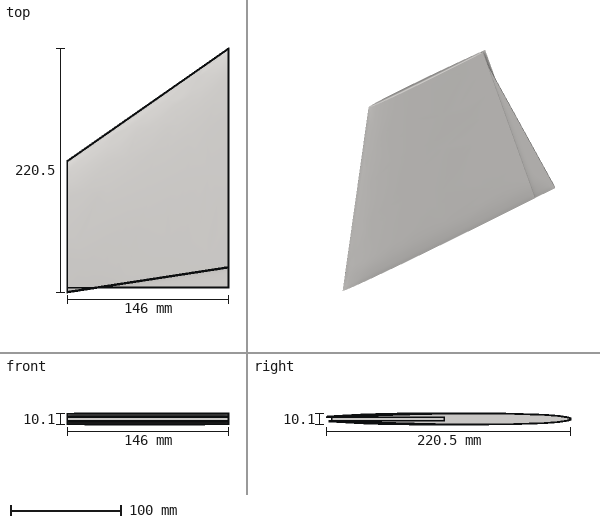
import cadquery as cq

SPAN = 146.0
NEAR_TRAILING_Y = 0.0
NEAR_LEADING_Y = 118.6
FAR_TRAILING_Y = 22.5
FAR_LEADING_Y = 220.5

FIN_THICKNESS = 10.1
HALF_THICKNESS = FIN_THICKNESS / 2
UPPER_EDGE_SETBACK = 0.7
LOWER_EDGE_SETBACK = 2.5
SURFACE_POLES = [
    (0.0, 0.0),
    (0.0, 0.88),
    (0.34, 1.49),
    (1.0, 0.46),
]

PLATE_THICKNESS = 3.3
PLATE_FRONT_Y = 4.5
PLATE_DEPTH = 101.7


def section_wire(x, trailing_y, leading_y):
    """Closed airfoil outline in the plane at x; its tip lies at the upper face of the plate slot."""
    chord = leading_y - trailing_y

    def surface_curve(edge_setback, side):
        surface_length = chord - edge_setback
        poles = [
            cq.Vector(x, leading_y - fraction * surface_length, side * height * HALF_THICKNESS)
            for fraction, height in SURFACE_POLES
        ]
        return cq.Edge.makeBezier(poles)

    upper = surface_curve(UPPER_EDGE_SETBACK, 1)
    lower = surface_curve(LOWER_EDGE_SETBACK, -1)
    tip = cq.Vector(x, trailing_y, PLATE_THICKNESS / 2)
    return cq.Wire.assembleEdges([
        upper,
        cq.Edge.makeLine(upper.endPoint(), tip),
        cq.Edge.makeLine(tip, lower.endPoint()),
        lower,
    ])


def plate_box(front_y):
    """Flat slab across the span, from front_y back to the rear edge of the plate."""
    back_y = PLATE_FRONT_Y + PLATE_DEPTH
    return cq.Workplane("XY").box(
        SPAN, back_y - front_y, PLATE_THICKNESS, centered=(False, False, True)
    ).translate((0, front_y, 0))


def make_fin():
    """Tapered airfoil fin, slotted through its trailing edge to receive the plate."""
    near_section = section_wire(0, NEAR_TRAILING_Y, NEAR_LEADING_Y)
    far_section = section_wire(SPAN, FAR_TRAILING_Y, FAR_LEADING_Y)
    blank = cq.Solid.makeLoft([near_section, far_section], True)
    return cq.Workplane(obj=blank).cut(plate_box(NEAR_TRAILING_Y)).solids()


fin = make_fin()
plate = plate_box(PLATE_FRONT_Y)

result = cq.Compound.makeCompound([fin.val(), plate.val()])